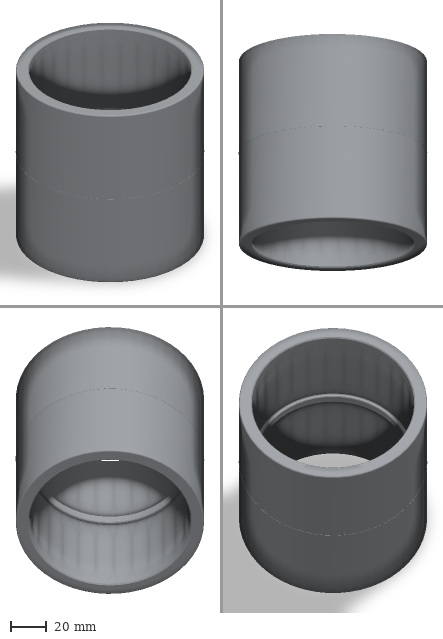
import cadquery as cq

LENGTH = 107.2
BODY_DIAMETER = 105.0
RIM_FILLET = 0.9

BEAD_DIAMETER = 105.2
BEAD_WIDTH = 0.2

SOCKET_DEPTH = 50.9
SOCKET_MOUTH_DIAMETER = 90.5
SOCKET_BOTTOM_DIAMETER = 89.8
MOUTH_CHAMFER = 0.6

STOP_DIAMETER = 85.8
STOP_CHAMFER = 0.4

HALF_LENGTH = LENGTH / 2


def centred_disc(diameter, height):
    """Solid cylinder on the Z axis, centred on the origin."""
    return cq.Workplane("XY").cylinder(height, diameter / 2)


def outer_body():
    """Cylinder with both rims rounded and the bead around its middle."""
    wall = centred_disc(BODY_DIAMETER, LENGTH).faces("<Z or >Z").edges().fillet(RIM_FILLET)
    return wall.union(centred_disc(BEAD_DIAMETER, BEAD_WIDTH))


def upper_socket():
    """Cavity of the upper socket: stop ring chamfer, tapered wall and mouth chamfer."""
    mouth_radius = SOCKET_MOUTH_DIAMETER / 2
    stop_radius = STOP_DIAMETER / 2
    stop_top = HALF_LENGTH - SOCKET_DEPTH
    profile = [
        (0, stop_top - STOP_CHAMFER),
        (stop_radius, stop_top - STOP_CHAMFER),
        (stop_radius + STOP_CHAMFER, stop_top),
        (SOCKET_BOTTOM_DIAMETER / 2, stop_top),
        (mouth_radius, HALF_LENGTH - MOUTH_CHAMFER),
        (mouth_radius + MOUTH_CHAMFER, HALF_LENGTH),
        (0, HALF_LENGTH),
    ]
    return cq.Workplane("XZ").polyline(profile).close().revolve(360, (0, 0), (0, 1))


socket = upper_socket()
stop_bore = centred_disc(STOP_DIAMETER, LENGTH)
result = outer_body().cut(stop_bore).cut(socket).cut(socket.mirror("XY"))